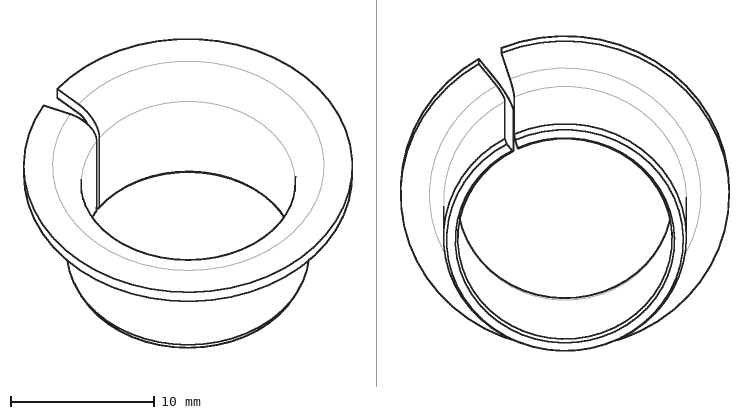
import cadquery as cq
import math

flange_diameter = 22.98
total_height = 10.0
wall = 1.0
bore_diameter = 14.98
bend_inner_radius = 1.0
chamfer_height = 0.6
chamfer_angle = 20.0
bore_chamfer_height = 0.3
bore_chamfer_angle = 30.0

split_half_width_at_bore = 0.18
split_half_angle = 10.0

flange_radius = flange_diameter / 2
bore_radius = bore_diameter / 2
body_radius = bore_radius + wall
bend_outer_radius = bend_inner_radius + wall
flange_underside = total_height - wall
bend_center_radius = body_radius + bend_inner_radius
bend_center_height = flange_underside - bend_inner_radius
chamfer_width = chamfer_height * math.tan(math.radians(chamfer_angle))
bore_chamfer_width = bore_chamfer_height * math.tan(math.radians(bore_chamfer_angle))


def bend_midpoint(radius):
    """Middle of the quarter bend between sleeve and flange, as (radius, height)."""
    offset = radius * math.sqrt(0.5)
    return bend_center_radius - offset, bend_center_height + offset


def make_bushing():
    """Revolve the constant-thickness sleeve, bend and flange about Z."""
    profile = (
        cq.Workplane("XZ")
        .moveTo(bore_radius, bore_chamfer_height)
        .lineTo(bore_radius + bore_chamfer_width, 0)
        .lineTo(body_radius - chamfer_width, 0)
        .lineTo(body_radius, chamfer_height)
        .lineTo(body_radius, bend_center_height)
        .threePointArc(bend_midpoint(bend_inner_radius), (bend_center_radius, flange_underside))
        .lineTo(flange_radius, flange_underside)
        .lineTo(flange_radius, total_height)
        .lineTo(bend_center_radius, total_height)
        .threePointArc(bend_midpoint(bend_outer_radius), (bore_radius, bend_center_height))
        .close()
    )
    bushing = profile.revolve(360, (0, 0, 0), (0, 1, 0))
    return bushing.rotate((0, 0, 0), (0, 0, 1), 180)


def make_split():
    """Wedge that widens outward along -X, with its tip inside the bore."""
    slope = math.tan(math.radians(split_half_angle))
    tip_radius = bore_radius - split_half_width_at_bore / slope
    outer_reach = flange_radius * 1.1
    outer_half_width = (outer_reach - tip_radius) * slope
    return (
        cq.Workplane("XY")
        .polyline([
            (-tip_radius, 0),
            (-outer_reach, outer_half_width),
            (-outer_reach, -outer_half_width),
        ])
        .close()
        .extrude(total_height)
    )


result = make_bushing().cut(make_split())